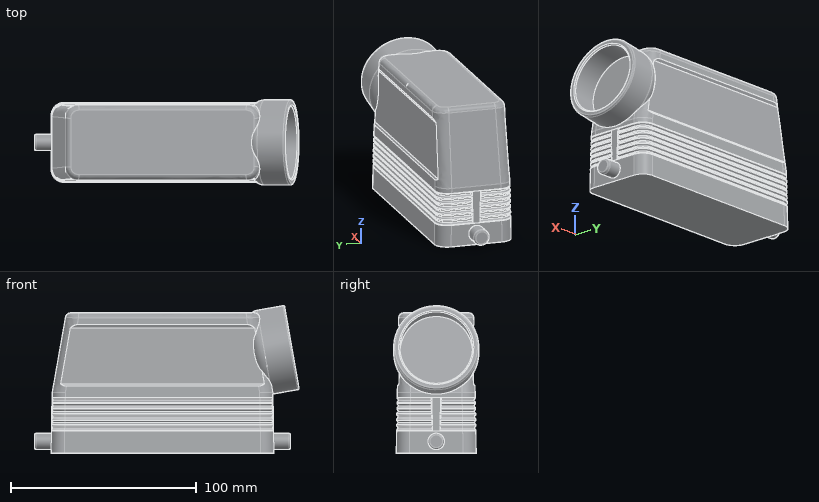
import cadquery as cq
import math

base_length = 119.9
base_width = 43.1
shoulder_height = 32.7
housing_height = 75.6
corner_radius = 7.1
top_edge_radius = 3.0
draft = math.tan(math.radians(1))
end_tilt_angle = 10
end_tilt = math.tan(math.radians(end_tilt_angle))

panel_depth = 0.9
panel_bottom = 36.2
panel_top = 69.2
panel_bottom_bevel = 1.1
panel_top_bevel = 1.9

groove_count = 6
groove_pitch = 3.0
groove_width = 2.3
groove_depth = 0.9
band_bottom = 12.1
band_top = band_bottom + groove_count * groove_pitch
band_rise = 0.07
key_bottom_width = 3.8
key_top_width = 4.7
key_side_angle = 45

pin_diameter = 8.8
pin_height = 6.4
pin_span = 137.8
pin_end_radius = 1.0

collar_diameter = 46.0
collar_face_x = 69.6
collar_face_z = 57.0
collar_length = 15.0
collar_back_radius = 6.4
collar_rim_radius = 0.9
bore_diameter = 39.0
bore_chamfer = 0.7

cut_margin = 7.1


def half_length(z):
    """Half the housing length at height z."""
    tilted_height = max(0, z - shoulder_height)
    drafted_height = min(z, shoulder_height)
    return base_length / 2 - drafted_height * draft - tilted_height * end_tilt


def half_width(z):
    """Half the housing width at height z."""
    return base_width / 2 - z * draft


def rounded_section(z, inset=0.0):
    """Horizontal rounded outline of the housing at height z, moved inwards by inset."""
    return (
        cq.Sketch()
        .rect(2 * (half_length(z) - inset), 2 * (half_width(z) - inset))
        .vertices()
        .fillet(corner_radius - inset)
        .moved(cq.Location(cq.Vector(0, 0, z)))
    )


def section_loft(lower, upper):
    """Solid with straight walls between two horizontal outlines."""
    return cq.Workplane("XY").placeSketch(lower, upper).loft(ruled=True)


def make_housing():
    base = section_loft(rounded_section(0), rounded_section(shoulder_height))
    hood = section_loft(rounded_section(shoulder_height), rounded_section(housing_height))
    hood = hood.faces(">Z").edges().fillet(top_edge_radius)
    return base.union(hood)


def make_panel_cutter():
    """Prism along the whole length that sinks the panel on the -Y side."""
    outer_y = -half_width(0) - cut_margin
    profile = [
        (outer_y, panel_bottom),
        (-half_width(panel_bottom), panel_bottom),
        (-half_width(panel_bottom) + panel_depth, panel_bottom + panel_bottom_bevel),
        (-half_width(panel_top) + panel_depth, panel_top - panel_top_bevel),
        (-half_width(panel_top), panel_top),
        (outer_y, panel_top),
    ]
    return cq.Workplane("YZ").polyline(profile).close().extrude(base_length / 2, both=True)


def make_band():
    return section_loft(
        rounded_section(band_bottom, -band_rise),
        rounded_section(band_top, -band_rise),
    )


def make_groove(bottom):
    """V-shaped ring around the band, starting at height bottom."""
    middle = bottom + groove_width / 2
    top = bottom + groove_width
    waist = rounded_section(middle, groove_depth - band_rise)
    core = section_loft(rounded_section(bottom, -band_rise), waist)
    core = core.union(section_loft(waist, rounded_section(top, -band_rise)))
    slab_plane = cq.Workplane("XY", origin=(0, 0, bottom))
    slab = slab_plane.rect(base_length + cut_margin, base_width + cut_margin).extrude(groove_width)
    return slab.cut(core)


def make_end_key():
    """Strip on the +X end that stays free of grooves, flared towards the groove bottoms."""
    surface_x = half_length(band_top) + band_rise
    inner_x = surface_x - groove_depth
    flare = groove_depth * math.tan(math.radians(key_side_angle))

    def outline(x, growth):
        return (
            cq.Workplane("YZ", origin=(x, 0, 0))
            .polyline([
                (-key_bottom_width / 2 - growth, band_bottom),
                (key_bottom_width / 2 + growth, band_bottom),
                (key_top_width / 2 + growth, band_top),
                (-key_top_width / 2 - growth, band_top),
            ])
            .close()
            .val()
        )

    flared = cq.Solid.makeLoft([outline(inner_x, flare), outline(surface_x, 0)], True)
    straight = cq.Solid.makeLoft([outline(surface_x, 0), outline(base_length, 0)], True)
    return cq.Workplane(flared).union(cq.Workplane(straight))


def make_pins():
    """One bar through the housing whose two ends are the pins."""
    end_circle = cq.Workplane("YZ").center(0, pin_height).circle(pin_diameter / 2)
    pins = end_circle.extrude(pin_span / 2, both=True)
    return pins.faces("<X or >X").edges().fillet(pin_end_radius)


def collar_plane():
    """Plane of the collar face, its normal pointing outwards and up."""
    angle = math.radians(end_tilt_angle)
    return cq.Plane(
        origin=(collar_face_x, 0, collar_face_z),
        xDir=(0, 1, 0),
        normal=(math.cos(angle), 0, math.sin(angle)),
    )


def make_collar():
    """Cylinder with a softened rim, rounded where its back runs into the hood."""
    full_length = collar_length + collar_back_radius
    collar = cq.Workplane(collar_plane()).circle(collar_diameter / 2).extrude(-full_length)
    front_face = cq.NearestToPointSelector((collar_face_x, 0, collar_face_z))
    rounded = collar.faces(front_face).edges().fillet(collar_rim_radius)
    return rounded.faces("<X").edges().fillet(collar_back_radius)


def make_bore():
    """Blind bore with a chamfered mouth."""
    bore = cq.Workplane(collar_plane()).circle(bore_diameter / 2).extrude(-collar_length)
    mouth = (
        cq.Workplane(collar_plane())
        .circle(bore_diameter / 2 + bore_chamfer)
        .workplane(offset=-bore_chamfer)
        .circle(bore_diameter / 2)
        .loft()
    )
    return bore.union(mouth)


housing = make_housing()

panel_cutter = make_panel_cutter()
housing = housing.cut(panel_cutter).cut(panel_cutter.mirror("XZ"))

housing = housing.union(make_band())
end_key = make_end_key()
end_keys = end_key.union(end_key.mirror("YZ"))
groove_margin = (groove_pitch - groove_width) / 2
for index in range(groove_count):
    groove = make_groove(band_bottom + groove_margin + index * groove_pitch)
    housing = housing.cut(groove.cut(end_keys))

result = housing.union(make_pins()).union(make_collar()).cut(make_bore())